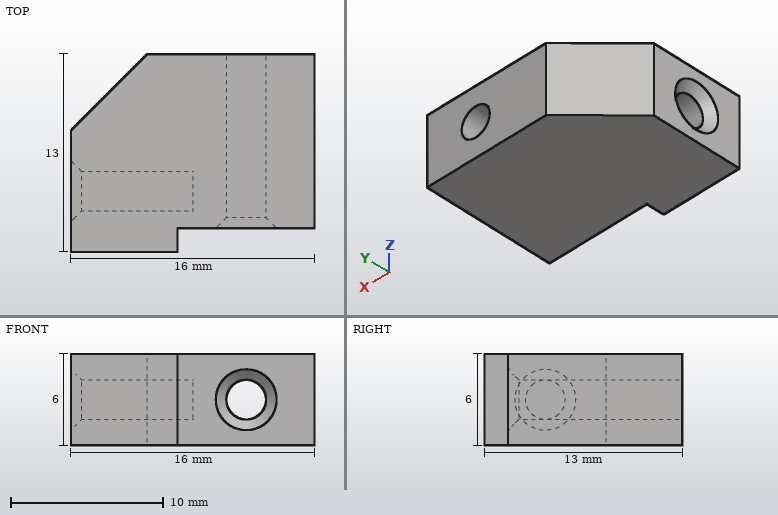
import cadquery as cq

length = 16.0
width = 13.0
height = 6.0

corner_cut = 5.0
foot_length = 7.0
foot_depth = 1.57

hole_diameter = 2.6
sink_diameter = 4.0
sink_angle = 90.0
through_hole_x = 11.5
blind_hole_y = 4.0
blind_hole_depth = 8.0

outline = [
    (0, 0),
    (foot_length, 0),
    (foot_length, foot_depth),
    (length, foot_depth),
    (length, width),
    (corner_cut, width),
    (0, width - corner_cut),
]
body = cq.Workplane("XY").polyline(outline).close().extrude(height)


def countersunk_hole(part, origin, normal, x_direction, depth=None):
    """Cut a countersunk hole into the face at origin; no depth means through."""
    plane = cq.Plane(origin=origin, xDir=x_direction, normal=normal)
    entry = part.copyWorkplane(cq.Workplane(plane))
    return entry.cskHole(hole_diameter, sink_diameter, sink_angle, depth=depth)


body = countersunk_hole(
    body, (through_hole_x, foot_depth, height / 2), (0, -1, 0), (1, 0, 0)
)

result = countersunk_hole(
    body, (0, blind_hole_y, height / 2), (-1, 0, 0), (0, -1, 0), blind_hole_depth
)